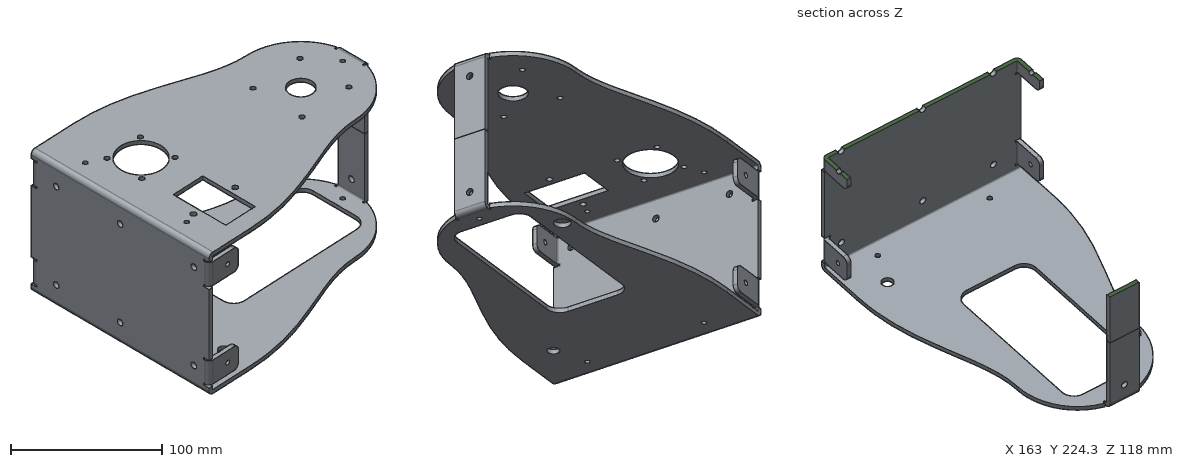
import cadquery as cq
import math

WIDTH = 163.0
DEPTH = 224.3
HEIGHT = 118.0

SHEET = 3.4
BEND_INNER = 0.5
BEND_OUTER = BEND_INNER + SHEET
RELIEF_WIDTH = 1.3

HEAD_RADIUS = 50.0
HEAD_Y = 172.7
FLANK_END_Y = 40.0
FLANK_PULL = 59.7
HEAD_PULL = 38.1

REAR_WIDTH = 24.5
REAR_RELIEF_Y = 218.9
REAR_GAP = 0.2
REAR_HOLE_RADIUS = 2.5
REAR_HOLE_Z = 44.2

EAR_WIDTH = 20.0
EAR_LENGTH = 28.0
EAR_CORNER = 4.5
EAR_Z = 41.0
EAR_HOLE_Y = 18.0
EAR_HOLE_RADIUS = 1.8
EAR_RELIEF_DEPTH = 5.0

WALL_HOLE_RADIUS = 2.5
WALL_HOLE_XS = (-58.5, 0, 67.5)

PLATE_HOLE_RADIUS = 1.8
PLATE_HOLES = ((-46.5, 15.2), (46.5, 15.2), (0, 212.5))

HUB_RADIUS = 10.0
HUB_SCREW_OFFSET = 22.5
HUB_SCREW_RADIUS = 2.0
OPENING_Y = 44.6
ROUND_X = -23.5
ROUND_RADIUS = 18.6
ROUND_SCREW_OFFSET = 16.0
ROUND_SCREW_RADIUS = 2.0
SOCKET_X = 43.5
SOCKET_SIZE = (48.0, 28.0)
SOCKET_SCREW_OFFSET = 20.0
SOCKET_SCREW_RADIUS = 2.2

WINDOW_WIDTH = 59.7
WINDOW_FRONT_Y = 77.8
WINDOW_REAR_Y = 205.0
WINDOW_CORNER = 10.0
CABLE_HOLE = (57.0, 40.0)
CABLE_HOLE_RADIUS = 4.3
HEAD_HOLE = (-42.2, 177.2)
HEAD_HOLE_RADIUS = 5.8


def plan_outline():
    """Solid prism of the bell-shaped plan, mirrored about X = 0."""
    side_curve = [
        (WIDTH / 2, FLANK_END_Y),
        (WIDTH / 2, FLANK_END_Y + FLANK_PULL),
        (HEAD_RADIUS, HEAD_Y - HEAD_PULL),
        (HEAD_RADIUS, HEAD_Y),
    ]
    head_diagonal = HEAD_RADIUS * math.sqrt(0.5)
    half = (
        cq.Workplane("XY", origin=(0, 0, -HEIGHT / 2))
        .lineTo(WIDTH / 2, 0)
        .lineTo(WIDTH / 2, FLANK_END_Y)
        .bezier(side_curve)
        .threePointArc((head_diagonal, HEAD_Y + head_diagonal), (0, HEAD_Y + HEAD_RADIUS))
        .close()
        .extrude(HEIGHT)
    )
    return half.union(half.mirror("YZ"))


def box(x_range, y_range, z_range):
    """Block spanning the given ranges."""
    size = [high - low for low, high in (x_range, y_range, z_range)]
    corner = (x_range[0], y_range[0], z_range[0])
    return cq.Workplane("XY").box(*size, centered=False).translate(corner)


def folded_band():
    """Closed rectangular band with rounded bends, trimmed to the plan outline."""
    middle = (0, DEPTH / 2, 0)
    outer = cq.Workplane("XY").box(WIDTH, DEPTH, HEIGHT).edges("|X").fillet(BEND_OUTER)
    inner = (
        cq.Workplane("XY")
        .box(WIDTH, DEPTH - 2 * SHEET, HEIGHT - 2 * SHEET)
        .edges("|X")
        .fillet(BEND_INNER)
    )
    band = outer.cut(inner).translate(middle)
    full_height = (-HEIGHT / 2, HEIGHT / 2)
    half_rear = REAR_WIDTH / 2
    half_notch = half_rear + RELIEF_WIDTH
    notch = box((-half_notch, half_notch), (REAR_RELIEF_Y, DEPTH), full_height)
    rear_strip = box((-half_rear, half_rear), (HEAD_Y, DEPTH), full_height)
    rear_gap = box((-half_rear, half_rear), (REAR_RELIEF_Y, DEPTH), (-REAR_GAP / 2, REAR_GAP / 2))
    plan = plan_outline().cut(notch).union(rear_strip)
    return band.intersect(plan).cut(rear_gap)


def ear(side, z):
    """L-shaped ear on the side given by the sign; its front leg lies within the front wall."""
    block = (
        cq.Workplane("XY")
        .box(2 * EAR_LENGTH, EAR_LENGTH, EAR_WIDTH)
        .translate((WIDTH / 2 - EAR_LENGTH, EAR_LENGTH / 2, 0))
        .edges(">X and <Y")
        .fillet(BEND_OUTER)
        .edges(">Y and |X")
        .fillet(EAR_CORNER)
    )
    hollow = (
        cq.Workplane("XY")
        .box(2 * EAR_LENGTH, EAR_LENGTH, EAR_WIDTH)
        .translate((WIDTH / 2 - EAR_LENGTH - SHEET, EAR_LENGTH / 2 + SHEET, 0))
        .edges(">X and <Y")
        .fillet(BEND_INNER)
    )
    hole = (
        cq.Workplane("YZ")
        .center(EAR_HOLE_Y, 0)
        .circle(EAR_HOLE_RADIUS)
        .extrude(WIDTH)
    )
    right_ear = block.cut(hollow).cut(hole)
    placed = right_ear if side > 0 else right_ear.mirror("YZ")
    return placed.translate((0, 0, z))


def add_ears(body):
    """Notch the front wall edges around each ear, then join the ears."""
    half_notch = EAR_WIDTH / 2 + RELIEF_WIDTH
    for side in (-1, 1):
        x_range = sorted((side * WIDTH / 2, side * (WIDTH / 2 - EAR_RELIEF_DEPTH)))
        for z in (-EAR_Z, EAR_Z):
            body = body.cut(box(x_range, (0, SHEET), (z - half_notch, z + half_notch)))
            body = body.union(ear(side, z))
    return body


def plate_cut(points, radius, z_bottom, depth):
    """Vertical cylinders for holes in the plates."""
    return (
        cq.Workplane("XY", origin=(0, 0, z_bottom)).pushPoints(points).circle(radius).extrude(depth)
    )


def top_cut(points, radius):
    """Cylinders through the top plate only."""
    return plate_cut(points, radius, HEIGHT / 2 - SHEET, SHEET)


def bottom_cut(points, radius):
    """Cylinders through the bottom plate only."""
    return plate_cut(points, radius, -HEIGHT / 2, SHEET)


def square_pattern(x, y, offset):
    return [(x + i * offset, y + j * offset) for i in (-1, 1) for j in (-1, 1)]


def cut_top_plate(body):
    socket = (
        cq.Workplane("XY", origin=(SOCKET_X, OPENING_Y, HEIGHT / 2 - SHEET))
        .rect(*SOCKET_SIZE)
        .extrude(SHEET)
    )
    socket_screws = [(SOCKET_X, OPENING_Y + i * SOCKET_SCREW_OFFSET) for i in (-1, 1)]
    return (
        body.cut(top_cut([(0, HEAD_Y)], HUB_RADIUS))
        .cut(top_cut(square_pattern(0, HEAD_Y, HUB_SCREW_OFFSET), HUB_SCREW_RADIUS))
        .cut(top_cut([(ROUND_X, OPENING_Y)], ROUND_RADIUS))
        .cut(top_cut(square_pattern(ROUND_X, OPENING_Y, ROUND_SCREW_OFFSET), ROUND_SCREW_RADIUS))
        .cut(socket)
        .cut(top_cut(socket_screws, SOCKET_SCREW_RADIUS))
    )


def cut_bottom_plate(body):
    half_width = WINDOW_WIDTH / 2
    window = box(
        (-half_width, half_width),
        (WINDOW_FRONT_Y, WINDOW_REAR_Y),
        (-HEIGHT / 2, -HEIGHT / 2 + SHEET),
    )
    window = window.edges("|Z").fillet(WINDOW_CORNER)
    return (
        body.cut(window)
        .cut(bottom_cut([CABLE_HOLE], CABLE_HOLE_RADIUS))
        .cut(bottom_cut([HEAD_HOLE], HEAD_HOLE_RADIUS))
    )


def wall_cut(points, radius, y_front):
    """Cylinders along Y through one wall thickness."""
    return (
        cq.Workplane("XZ", origin=(0, y_front, 0)).pushPoints(points).circle(radius).extrude(-SHEET)
    )


def cut_walls(body):
    front_holes = [(x, z) for x in WALL_HOLE_XS for z in (-EAR_Z, EAR_Z)]
    rear_holes = [(0, -REAR_HOLE_Z), (0, REAR_HOLE_Z)]
    return body.cut(wall_cut(front_holes, WALL_HOLE_RADIUS, 0)).cut(
        wall_cut(rear_holes, REAR_HOLE_RADIUS, DEPTH - SHEET)
    )


bracket = add_ears(folded_band())
bracket = cut_top_plate(bracket)
bracket = cut_bottom_plate(bracket)
bracket = bracket.cut(plate_cut(PLATE_HOLES, PLATE_HOLE_RADIUS, -HEIGHT / 2, HEIGHT))
result = cut_walls(bracket)